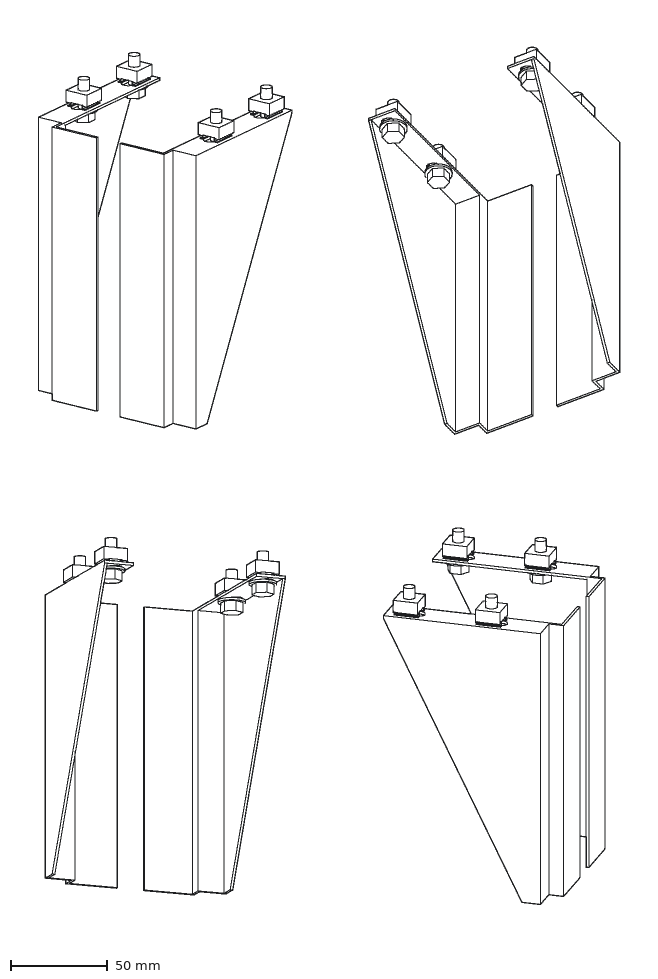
import cadquery as cq


PAIR_WIDTH = 100.0
SIDES = (-1, 1)

SHEET = 1.5
BRACKET_HEIGHT = 150.0
BRACKET_DEPTH = 93.0
BRACKET_WIDTH = 42.5
CHANNEL_WIDTH = 16.0
CHANNEL_FRONT_Y = 8.0
WALL_FOOT_DEPTH = 10.0
OUTER_X = PAIR_WIDTH / 2
FLANGE_UNDERSIDE_Z = BRACKET_HEIGHT - SHEET

SLOT_LENGTH = 17.0
SLOT_WIDTH = 7.0
BOLT_X = OUTER_X - CHANNEL_WIDTH / 2
BOLT_YS = (37.0, 81.5)

SHANK_DIAMETER = 6.0
SHANK_TOP_Z = 164.5
HEX_ACROSS_FLATS = 10.0
HEAD_HEIGHT = 6.5
HEAD_FLANGE_DIAMETER = 14.2
HEAD_FLANGE_HEIGHT = 1.2

NUT_SIDE = 13.2
NUT_BLOCK_BOTTOM = 1.9
NUT_TOP = 8.5
NUT_LEG_THICKNESS = 0.4
NUT_GROOVE_WIDTH = SLOT_WIDTH
NUT_GROOVE_DEPTH = NUT_BLOCK_BOTTOM + NUT_LEG_THICKNESS
NUT_LEG_SPAN = NUT_GROOVE_WIDTH + 2 * NUT_LEG_THICKNESS
NUT_FEET_SPAN = 11.0


def box(x_range, y_range, z_range):
    """Box between two limits along each axis."""
    sizes = [high - low for low, high in (x_range, y_range, z_range)]
    corner = (x_range[0], y_range[0], z_range[0])
    return cq.Workplane("XY").box(*sizes, centered=False).translate(corner)


def make_right_bracket():
    """Bracket on the +X side; its channel opens to the rear and toward X = 0."""
    inner_x = OUTER_X - CHANNEL_WIDTH
    full_height = (0, BRACKET_HEIGHT)

    tapered_wall = (
        cq.Workplane("YZ")
        .workplane(offset=OUTER_X - SHEET)
        .polyline([
            (CHANNEL_FRONT_Y, 0),
            (CHANNEL_FRONT_Y + WALL_FOOT_DEPTH, 0),
            (BRACKET_DEPTH, FLANGE_UNDERSIDE_Z),
            (BRACKET_DEPTH, BRACKET_HEIGHT),
            (CHANNEL_FRONT_Y, BRACKET_HEIGHT),
        ])
        .close()
        .extrude(SHEET)
    )
    top_flange = box(
        (inner_x, OUTER_X), (CHANNEL_FRONT_Y, BRACKET_DEPTH), (FLANGE_UNDERSIDE_Z, BRACKET_HEIGHT)
    )
    channel_front = box(
        (inner_x, OUTER_X), (CHANNEL_FRONT_Y, CHANNEL_FRONT_Y + SHEET), full_height
    )
    step = box((inner_x, inner_x + SHEET), (0, CHANNEL_FRONT_Y + SHEET), full_height)
    front_lip = box((OUTER_X - BRACKET_WIDTH, inner_x + SHEET), (0, SHEET), full_height)
    slots = (
        cq.Workplane("XY")
        .workplane(offset=FLANGE_UNDERSIDE_Z)
        .pushPoints([(BOLT_X, y) for y in BOLT_YS])
        .slot2D(SLOT_LENGTH, SLOT_WIDTH, 90)
        .extrude(SHEET)
    )
    return tapered_wall.union(top_flange).union(channel_front).union(step).union(front_lip).cut(slots)


def make_bolt(x, y):
    """Bolt pointing up, its head flange against the underside of the top flange."""
    seat = cq.Workplane("XY", origin=(x, y, FLANGE_UNDERSIDE_Z))
    shank = seat.circle(SHANK_DIAMETER / 2).extrude(SHANK_TOP_Z - FLANGE_UNDERSIDE_Z)
    head_flange = seat.circle(HEAD_FLANGE_DIAMETER / 2).extrude(-HEAD_FLANGE_HEIGHT)
    hexagon = seat.polygon(6, HEX_ACROSS_FLATS, circumscribed=True).extrude(-HEAD_HEIGHT)
    return hexagon.union(head_flange).union(shank)


def make_nut(x, y):
    """Nut standing on the top flange, grooved along Y over the slot and bored for the shank."""
    half_side = NUT_SIDE / 2

    def layer(width, z_low, z_high):
        return box((-width / 2, width / 2), (-half_side, half_side), (z_low, z_high))

    block = layer(NUT_SIDE, NUT_BLOCK_BOTTOM, NUT_TOP)
    legs = layer(NUT_LEG_SPAN, 0, NUT_BLOCK_BOTTOM)
    feet = layer(NUT_FEET_SPAN, 0, NUT_LEG_THICKNESS)
    groove = layer(NUT_GROOVE_WIDTH, 0, NUT_GROOVE_DEPTH)
    bore = cq.Workplane("XY").circle(SHANK_DIAMETER / 2).extrude(NUT_TOP)
    nut = block.union(legs).union(feet).cut(groove).cut(bore)
    return nut.translate((x, y, BRACKET_HEIGHT))


right_bracket = make_right_bracket()
left_bracket = right_bracket.mirror("YZ")

bolts = []
nuts = []
for side in SIDES:
    for bolt_y in BOLT_YS:
        bolts.append(make_bolt(side * BOLT_X, bolt_y))
        nuts.append(make_nut(side * BOLT_X, bolt_y))

bodies = [right_bracket, left_bracket, *bolts, *nuts]
result = cq.Compound.makeCompound([body.val() for body in bodies])